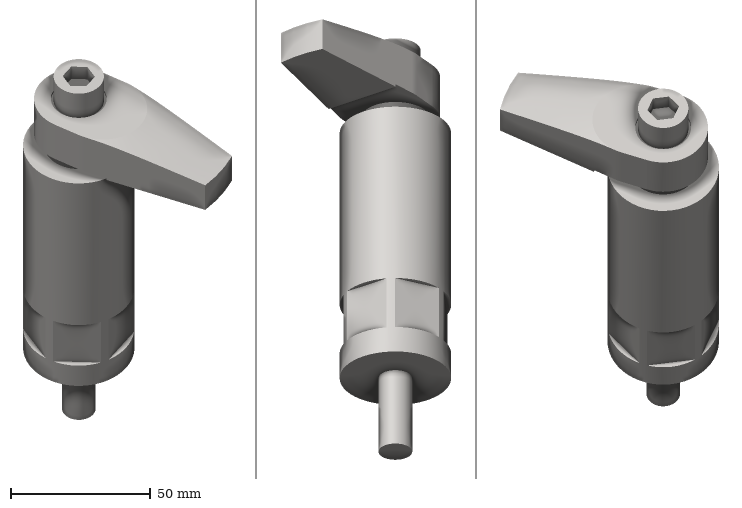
import cadquery as cq
import math

screw_length = 164.0
screw_overhang = 30.0
flange_height = 10.0
hex_height = 20.0
barrel_height = 70.0
collar_height = 6.0
boss_height = 16.9

flange_z = screw_overhang
hex_z = flange_z + flange_height
barrel_z = hex_z + hex_height
collar_z = barrel_z + barrel_height
boss_z = collar_z + collar_height
boss_top_z = boss_z + boss_height

housing_radius = 20.0
hex_across_flats = 36.0

shank_radius = 6.0
head_radius = 9.0
socket_across_flats = 10.0
socket_depth = 6.0
seat_depth = 1.0
seat_radius = 10.0
seat_z = boss_top_z - seat_depth

collar_radius = 12.5
boss_radius = 16.0
boss_offset = 10.0
lever_reach = 60.0
tip_half_width = 9.0
tip_drop = 5.7
pad_thickness = 1.0
pad_start_x = 21.0


def cylinder(radius, bottom_z, top_z):
    return cq.Workplane("XY").workplane(offset=bottom_z).circle(radius).extrude(top_z - bottom_z)


def hexagon(across_flats, bottom_z, top_z):
    """Hexagonal prism with two of its flats facing -X and +X."""
    corner_diameter = across_flats / math.cos(math.pi / 6)
    prism = cq.Workplane("XY").polygon(6, corner_diameter).extrude(top_z - bottom_z)
    return prism.rotate((0, 0, 0), (0, 0, 1), 30).translate((0, 0, bottom_z))


def make_housing():
    """Barrel and flange with six wrench flats between them, bored for the screw."""
    flange = cylinder(housing_radius, flange_z, hex_z)
    grip = cylinder(housing_radius, hex_z, barrel_z).intersect(hexagon(hex_across_flats, hex_z, barrel_z))
    barrel = cylinder(housing_radius, barrel_z, collar_z)
    bore = cylinder(shank_radius, flange_z, collar_z)
    return flange.union(grip).union(barrel).cut(bore)


def make_screw():
    """Socket-head screw running through the lever and the housing."""
    shank = cylinder(shank_radius, 0, seat_z)
    head = cylinder(head_radius, seat_z, screw_length)
    socket = hexagon(socket_across_flats, screw_length - socket_depth, screw_length)
    return shank.union(head).cut(socket)


def make_boss():
    """Rounded boss whose two end arcs share one radius."""
    length = boss_offset + 2 * boss_radius
    return (
        cq.Workplane("XY", origin=(boss_offset / 2, 0, boss_z))
        .slot2D(length, 2 * boss_radius)
        .extrude(boss_height)
    )


def make_handle():
    """Tapered handle tangent to the outer boss arc, with a conical top face."""
    tip_corner_x = math.sqrt(lever_reach**2 - tip_half_width**2)
    corner_run = tip_corner_x - boss_offset
    corner_distance = math.hypot(corner_run, tip_half_width)
    tangent_angle = math.atan2(tip_half_width, corner_run) + math.acos(boss_radius / corner_distance)
    tangent_x = boss_offset + boss_radius * math.cos(tangent_angle)
    tangent_y = boss_radius * math.sin(tangent_angle)
    bottom_z = boss_z - pad_thickness

    handle = (
        cq.Workplane("XY")
        .workplane(offset=bottom_z)
        .moveTo(tangent_x, -tangent_y)
        .lineTo(tip_corner_x, -tip_half_width)
        .threePointArc((lever_reach, 0), (tip_corner_x, tip_half_width))
        .lineTo(tangent_x, tangent_y)
        .close()
        .extrude(boss_top_z - bottom_z)
    )

    relief = cq.Workplane("XY").box(
        pad_start_x, 2 * boss_radius, pad_thickness, centered=(False, True, False)
    ).translate((0, 0, bottom_z))

    tip_distance = lever_reach - boss_offset
    slope_envelope = (
        cq.Workplane("XZ")
        .moveTo(0, bottom_z)
        .lineTo(tip_distance, bottom_z)
        .lineTo(tip_distance, boss_top_z - tip_drop)
        .lineTo(boss_radius, boss_top_z)
        .lineTo(0, boss_top_z)
        .close()
        .revolve(360, (0, 0, 0), (0, 1, 0))
        .translate((boss_offset, 0, 0))
    )
    return handle.cut(relief).intersect(slope_envelope)


def make_lever():
    """Boss, handle and collar, bored for the shank and recessed for the head."""
    collar = cylinder(collar_radius, collar_z, boss_z)
    bore = cylinder(shank_radius, collar_z, boss_top_z)
    seat = cylinder(seat_radius, seat_z, boss_top_z)
    return make_boss().union(make_handle()).union(collar).cut(bore).cut(seat)


housing = make_housing()
screw = make_screw()
lever = make_lever()

result = cq.Compound.makeCompound([housing.val(), screw.val(), lever.val()])